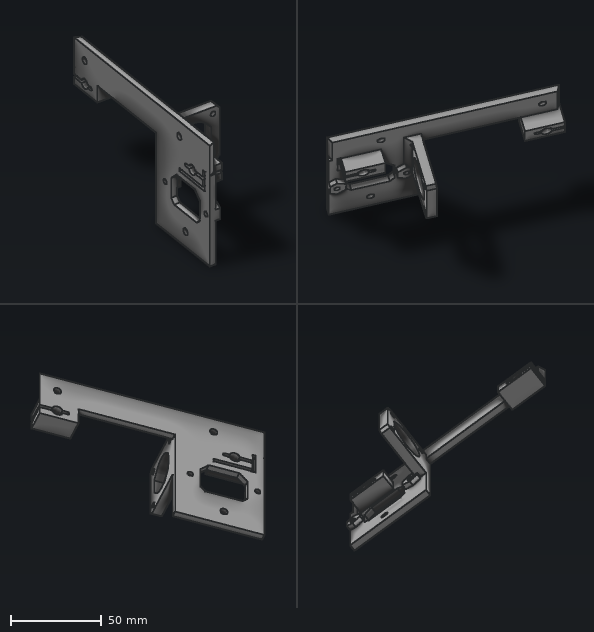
import cadquery as cq
import math


length = 133.0
height = 80.0
plate_thickness = 4.0
arm_height = 20.0
leg_left = 80.0
end_taper = 2.0

clamp_width = 23.0
clamp_height = 11.0
clamp_depth = 13.0
bore_diameter = 6.3
bore_z = -25.4
bore_inset = 10.5
bore_spacing = 105.0
slit_height = 2.0
slit_past_bore = 6.9
right_clamp_left = 103.0
right_clamp_right = right_clamp_left + clamp_width
relief_gap = 2.0

window_x = 109.0
window_z = -47.5
window_width = 27.9
window_height = 21.0
window_top_chamfer = 4.9
window_bottom_chamfer = 2.9
boss_spacing = 39.9
boss_corner_radius = 6.0
boss_depth = 7.0
small_hole_diameter = 3.2

mount_hole_diameter = 4.3
upper_hole_z = -10.0
upper_right_hole_x = 103.0
lower_hole_z = -70.0

flange_thickness = 6.0
flange_reach = 39.0
flange_size = 35.0
flange_z = -30.0
flange_y = flange_reach - flange_size / 2
flange_chamfer = 2.0
motor_hole_radius = 11.6
motor_screw_spacing = 26.0
gusset_leg = 3.9


def block(x_start, x_end, z_top, z_bottom, depth):
    """Box extending backwards from the front face."""
    size_x = x_end - x_start
    size_z = z_top - z_bottom
    return cq.Workplane("XY").box(size_x, depth, size_z, centered=False).translate((x_start, 0, z_bottom))


def front_plane():
    """Sketch plane on the front face, whose extrusions run forwards for positive lengths."""
    return cq.Workplane("XZ")


def front_hole(x, z, diameter, depth):
    return front_plane().center(x, z).circle(diameter / 2).extrude(-depth)


def make_plate():
    arm = (
        cq.Workplane("XY")
        .polyline([
            (0, 0),
            (length, 0),
            (length - end_taper, plate_thickness),
            (end_taper, plate_thickness),
        ])
        .close()
        .extrude(-arm_height)
    )
    leg = block(leg_left, length, -arm_height, -height, plate_thickness)
    return arm.union(leg)


def make_clamp_block(x_start):
    return block(x_start, x_start + clamp_width, -arm_height, -arm_height - clamp_height, clamp_depth)


def make_clamp_cut(bore_x, slit_start, slit_direction):
    """Rod bore crossed by a slit that ends in a full round."""
    round_x = bore_x + slit_direction * (slit_past_bore - slit_height / 2)
    slit = block(
        min(slit_start, round_x),
        max(slit_start, round_x),
        bore_z + slit_height / 2,
        bore_z - slit_height / 2,
        clamp_depth,
    )
    round_end = front_hole(round_x, bore_z, slit_height, clamp_depth)
    return front_hole(bore_x, bore_z, bore_diameter, clamp_depth).union(slit).union(round_end)


def make_clamp_relief():
    """L-shaped gap along the right side and underside of the right clamp."""
    outer_x = right_clamp_right + relief_gap
    clamp_bottom = -arm_height - clamp_height
    relief_bottom = clamp_bottom - relief_gap
    side = block(right_clamp_right, outer_x, -arm_height, relief_bottom, clamp_depth)
    underside = block(right_clamp_left, outer_x, clamp_bottom, relief_bottom, clamp_depth)
    return side.union(underside)


def make_window():
    opening = front_plane().center(window_x, window_z).rect(window_width, window_height).extrude(-boss_depth)
    opening = opening.edges("|Y and >Z").chamfer(window_top_chamfer)
    return opening.edges("|Y and <Z").chamfer(window_bottom_chamfer)


def make_boss(x):
    """Hexagonal boss with corners at top and bottom, trimmed at the plate's right edge."""
    corner_angles = [math.radians(30 + 60 * i) for i in range(6)]
    corners = [(boss_corner_radius * math.cos(a), boss_corner_radius * math.sin(a)) for a in corner_angles]
    boss = front_plane().center(x, window_z).polyline(corners).close().extrude(-boss_depth)
    return boss.intersect(block(leg_left, length, 0, -height, boss_depth))


def make_flange():
    z_top = flange_z + flange_size / 2
    z_bottom = flange_z - flange_size / 2
    flange_right = leg_left + flange_thickness
    flange = block(leg_left, flange_right, z_top, z_bottom, flange_reach)
    flange = flange.edges("|X and >Y").chamfer(flange_chamfer)
    gusset = (
        cq.Workplane("XY", origin=(flange_right, plate_thickness, z_bottom))
        .polyline([(0, 0), (gusset_leg, 0), (0, gusset_leg)])
        .close()
        .extrude(flange_size)
    )
    return flange.union(gusset)


def make_motor_cut():
    """Teardrop opening cut flat at one radius, and three motor screw holes."""
    cut_length = flange_thickness + gusset_leg
    center = cq.Workplane("YZ", origin=(leg_left, flange_y, flange_z))
    tangent = motor_hole_radius * math.sqrt(0.5)
    flat_half = motor_hole_radius * (math.sqrt(2) - 1)
    opening = (
        center.moveTo(tangent, tangent)
        .threePointArc((-motor_hole_radius, 0), (tangent, -tangent))
        .lineTo(motor_hole_radius, -flat_half)
        .lineTo(motor_hole_radius, flat_half)
        .close()
        .extrude(cut_length)
    )
    offset = motor_screw_spacing / 2
    screws = (
        center.pushPoints([(offset, offset), (offset, -offset), (-offset, offset)])
        .circle(small_hole_diameter / 2)
        .extrude(cut_length)
    )
    return opening.union(screws)


boss_centers = [window_x - boss_spacing / 2, window_x + boss_spacing / 2]

result = make_plate().union(make_flange())
for clamp_left in (0, right_clamp_left):
    result = result.union(make_clamp_block(clamp_left))
for boss_x in boss_centers:
    result = result.union(make_boss(boss_x))

result = result.cut(make_motor_cut())
result = result.cut(make_clamp_relief())
result = result.cut(make_clamp_cut(bore_inset, 0, 1))
result = result.cut(make_clamp_cut(bore_inset + bore_spacing, right_clamp_right, -1))
result = result.cut(make_window())
for boss_x in boss_centers:
    result = result.cut(front_hole(boss_x, window_z, small_hole_diameter, boss_depth))

mount_holes = [
    (bore_inset, upper_hole_z),
    (upper_right_hole_x, upper_hole_z),
    (window_x, lower_hole_z),
]
for hole_x, hole_z in mount_holes:
    result = result.cut(front_hole(hole_x, hole_z, mount_hole_diameter, plate_thickness))